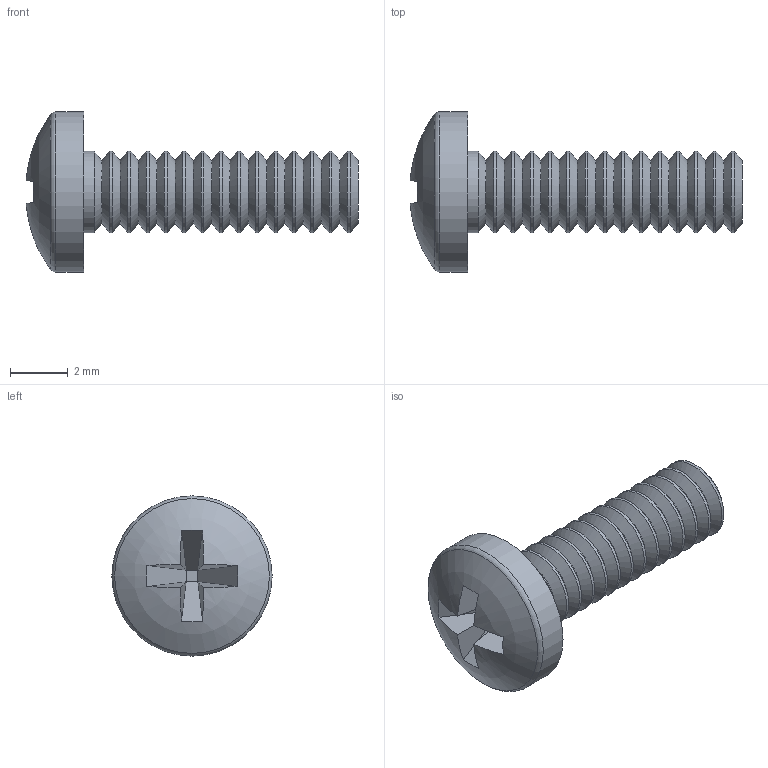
import cadquery as cq
import math

head_radius = 2.78
head_height = 2.032
rim_height = 0.967
rim_fillet = 0.23

pitch = 0.635
ridge_count = 14
thread_radius = 1.42
root_radius = 1.08
crest_width = 0.1
flank_width = (pitch - crest_width) / 2
shank_length = (ridge_count + 1) * pitch

recess_depth = 2.0
recess_bottom = 0.4
slot_end_depth = 0.286
slot_end_length = 3.16
slot_end_width = 0.745


def make_head():
    """Domed head whose dome blends tangentially into the rim fillet."""
    apex_to_rim = head_height - rim_height
    fillet_center_radius = head_radius - rim_fillet
    dome_radius = (apex_to_rim**2 + fillet_center_radius**2 - rim_fillet**2) / (
        2 * (apex_to_rim - rim_fillet)
    )
    dome_center_x = dome_radius - head_height
    blend_angle = math.asin(fillet_center_radius / (dome_radius - rim_fillet))

    def dome_point(angle):
        return (dome_center_x - dome_radius * math.cos(angle), dome_radius * math.sin(angle))

    def fillet_point(angle):
        return (
            -rim_height - rim_fillet * math.cos(angle),
            fillet_center_radius + rim_fillet * math.sin(angle),
        )

    right_angle = math.pi / 2
    profile = (
        cq.Workplane("XY")
        .moveTo(-head_height, 0)
        .threePointArc(dome_point(blend_angle / 2), dome_point(blend_angle))
        .threePointArc(fillet_point((blend_angle + right_angle) / 2), fillet_point(right_angle))
        .lineTo(0, head_radius)
        .lineTo(0, 0)
        .close()
    )
    return profile.revolve(360, (0, 0, 0), (1, 0, 0))


def make_shank():
    """Plain neck followed by the ridges; the last flank ends at the root radius."""
    profile = (
        cq.Workplane("XY")
        .moveTo(0, 0)
        .lineTo(0, thread_radius)
        .lineTo(pitch - flank_width, thread_radius)
    )
    for ridge in range(1, ridge_count + 1):
        root_x = ridge * pitch
        crest_x = root_x + flank_width
        profile = (
            profile.lineTo(root_x, root_radius)
            .lineTo(crest_x, thread_radius)
            .lineTo(crest_x + crest_width, thread_radius)
        )
    profile = profile.lineTo(shank_length, root_radius).lineTo(shank_length, 0).close()
    return profile.revolve(360, (0, 0, 0), (1, 0, 0))


def make_slot():
    """Tapered slot cutter, long along Y, from the apex plane to the recess bottom."""
    taper_share = recess_depth / (recess_depth - slot_end_depth)
    mouth_length = recess_bottom + (slot_end_length - recess_bottom) * taper_share
    mouth_width = recess_bottom + (slot_end_width - recess_bottom) * taper_share
    return (
        cq.Workplane("YZ", origin=(-head_height, 0, 0))
        .rect(mouth_length, mouth_width)
        .workplane(offset=recess_depth)
        .rect(recess_bottom, recess_bottom)
        .loft(ruled=True)
    )


result = make_head().union(make_shank())
for slot_angle in (0, 90):
    result = result.cut(make_slot().rotate((0, 0, 0), (1, 0, 0), slot_angle))